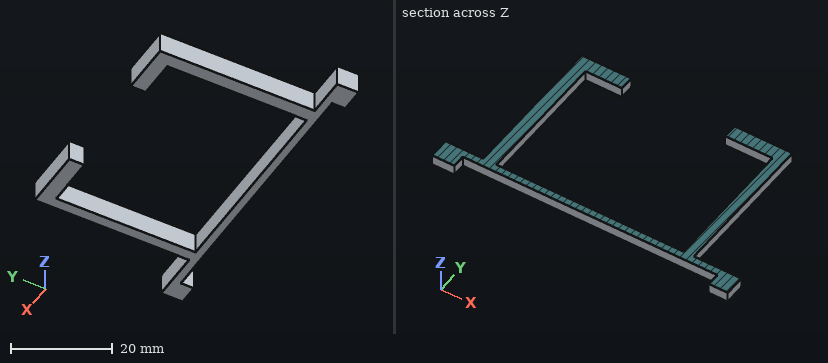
import cadquery as cq

length = 70.0
depth = 40.0
height = 5.0

bar_back = 5.0
foot_drop = 3.0
bar_thickness = bar_back - foot_drop
left_foot_width = 5.4
right_foot_width = 4.55

left_arm_x = 8.9
left_arm_width = 3.2
left_lip_length = 11.8
right_arm_x = 58.8
right_arm_width = 2.6
right_lip_length = 13.8
lip_thickness = 3.5


def block(x, y, size_x, size_y):
    """Full-height block with its front left corner at (x, y)."""
    return cq.Workplane("XY").box(size_x, size_y, height, centered=False).translate((x, y, 0))


crossbar = block(0, foot_drop, length, bar_thickness)
left_foot = block(0, 0, left_foot_width, bar_back)
right_foot = block(length - right_foot_width, 0, right_foot_width, bar_back)

arm_length = depth - foot_drop
lip_y = depth - lip_thickness
left_arm = block(left_arm_x, foot_drop, left_arm_width, arm_length)
left_lip = block(left_arm_x, lip_y, left_lip_length, lip_thickness)
right_arm = block(right_arm_x - right_arm_width, foot_drop, right_arm_width, arm_length)
right_lip = block(right_arm_x - right_lip_length, lip_y, right_lip_length, lip_thickness)

result = crossbar
for piece in (left_foot, right_foot, left_arm, left_lip, right_arm, right_lip):
    result = result.union(piece)
result = result.clean()